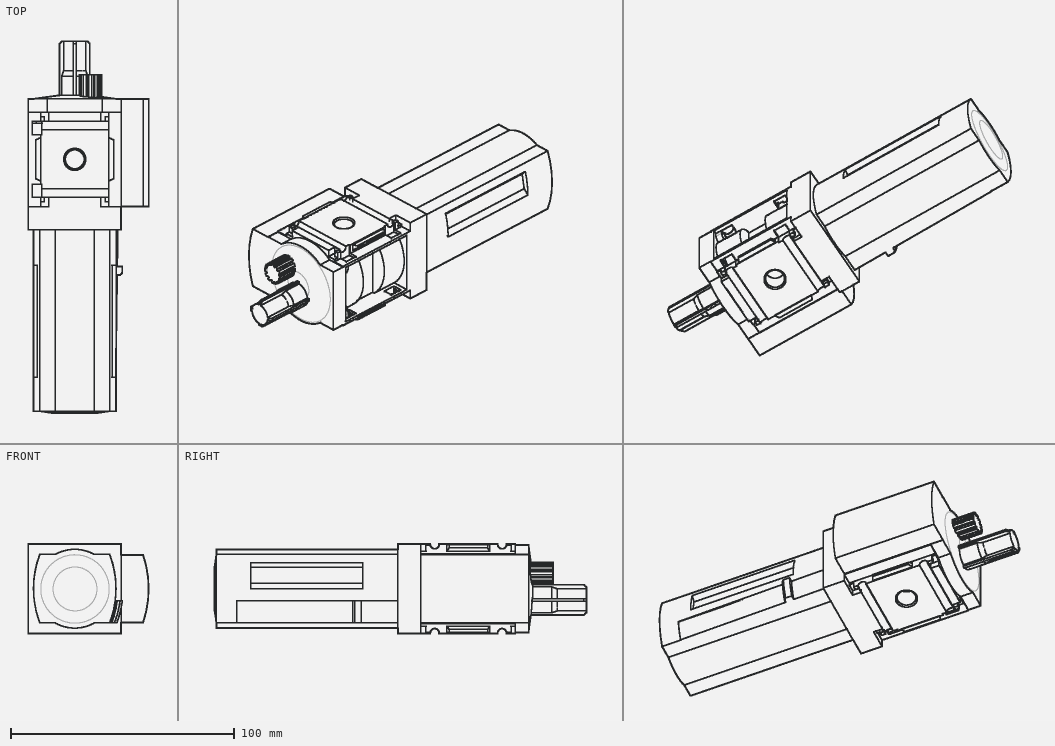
import cadquery as cq
import math


BOWL_END = 0.8
BASE_START = 82.1
FRAME_START = 92.5
PLATE_START = 96.6
PLATE_END = 130.8
CAP_START = 134.8
CAP_END = 140.8
DOME_TOP = 142.5
PINION_END = 151.6
TOTAL_LENGTH = 166.6
PORT_Y = (PLATE_START + PLATE_END) / 2

BLOCK_HALF_WIDTH = 20.8
BLOCK_HEIGHT = 40.2
BLOCK_HALF_HEIGHT = BLOCK_HEIGHT / 2
FLAT_HALF_HEIGHT = 15.3
LEDGE_HALF_HEIGHT = 15.7
PLATE_HALF_WIDTH = 15.3
NECK_HALF_WIDTH = 11.7
NOTCH_FLOOR_Z = 16.8

BOWL_RADIUS = 17.7
BOWL_CORNER_X = 15.7
BOWL_SIDE_X = 18.5
END_CONE_RADIUS = 15.3
END_FACE_RADIUS = 9.8
SIGHT_START = 16.2
SIGHT_END = 66.3
SIGHT_FLOOR_BOTTOM_X = 16.2
SIGHT_FLOOR_TOP_X = 14.8
SIGHT_FLOOR_BOTTOM = 2.3
SIGHT_FLOOR_TOP = 9.5
SIGHT_TOP = 11.7
SIGHT_TOP_X = 16.8

LATCH_TOP = -5.3
LATCH_LEAF_THICKNESS = 1.2
LATCH_LEAF_END = 10.0
LATCH_LEAF_END_THICKNESS = 0.2
LATCH_KNOB_START = 61.8
LATCH_KNOB_END = 65.8
LATCH_KNOB_THICKNESS = 3.2
LATCH_KNOB_CHAMFER = 1.0

COVER_HALF_HEIGHT = 15.2
COVER_CORNER_X = 30.7
COVER_SIDE_X = 33.2

CAP_RADIUS = 19.7
DOME_BASE_RADIUS = 18.7
DOME_TOP_RADIUS = 6.7

GROOVE_DIAMETER = 3.8
GROOVE_RADIUS = GROOVE_DIAMETER / 2
GROOVE_DEPTH = 2.2
GROOVE_INSET = 2.0
LIP_REACH = 2.2
LIP_HEIGHT = 2.8
LIP_EDGE_HEIGHT = 1.3
LIP_DROP = 0.5
LIP_OUTER_HALF_LENGTH = 8.7
LIP_ROOT_HALF_LENGTH = 9.7
PORT_DIAMETER = 8.5
PORT_DEPTH = 10.0
PORT_CHAMFER = 0.7
STUD_WIDTH = 1.7
STUD_LENGTH = 2.0
STUD_TOP = 19.5

WINDOW_START = 94.6
WINDOW_END = 133.0
WINDOW_HALF_HEIGHT = 14.3
WINDOW_FLOOR_X = -11.7
CORE_RADIUS = 19.2
CORE_WAIST_START = 107.1
CORE_WAIST_END = 120.3
LUG_LENGTH = 3.0
LUG_INNER_Z = 7.5
LUG_RADIUS = 4.3
LEDGE_HOLE_OUTER_X = -19.0
LEDGE_HOLE_INNER_X = -14.7
LEDGE_HOLE_LENGTH = 6.0

SHAFT_Z = -5.0
SHAFT_RADIUS = 5.0
COLLAR_RADIUS = 5.8
COLLAR_END = 153.5
COLLAR_CHAMFER = 2.5
FIN_RADIUS = 6.8
FIN_THICKNESS = 1.2
FIN_COUNT = 4
TIP_CHAMFER = 1.2
PINION_X = 7.0
PINION_Z = 6.8
PINION_RADIUS = 5.0
PINION_ROOT_RADIUS = 4.2
TOOTH_COUNT = 12
TOOTH_WIDTH = 1.3


def section(y):
    """Sketch plane across the part at station y, with local axes along X and Z."""
    return cq.Workplane(cq.Plane((0, y, 0), (1, 0, 0), (0, -1, 0)))


def cylinder(radius, y_start, y_end, x=0.0, z=0.0):
    return section(y_end).center(x, z).circle(radius).extrude(y_end - y_start)


def cone(lower_radius, upper_radius, y_start, y_end, x=0.0, z=0.0):
    profile = [(0, y_start), (lower_radius, y_start), (upper_radius, y_end), (0, y_end)]
    turned = cq.Workplane("XY").polyline(profile).close().revolve(360, (0, 0), (0, 1))
    return turned.translate((x, 0, z))


def box(x_start, x_end, y_start, y_end, z_start, z_end):
    size = (x_end - x_start, y_end - y_start, z_end - z_start)
    return cq.Workplane("XY").box(*size, centered=False).translate((x_start, y_start, z_start))


def in_both(shape, plane):
    return shape.union(shape.mirror(plane))


def bowl():
    outline = (
        section(BASE_START)
        .moveTo(-BOWL_CORNER_X, FLAT_HALF_HEIGHT)
        .lineTo(BOWL_CORNER_X, FLAT_HALF_HEIGHT)
        .threePointArc((BOWL_SIDE_X, 0), (BOWL_CORNER_X, -FLAT_HALF_HEIGHT))
        .lineTo(-BOWL_CORNER_X, -FLAT_HALF_HEIGHT)
        .threePointArc((-BOWL_SIDE_X, 0), (-BOWL_CORNER_X, FLAT_HALF_HEIGHT))
        .close()
    )
    shell = outline.extrude(BASE_START - BOWL_END)
    shell = shell.union(cylinder(BOWL_RADIUS, BOWL_END, BASE_START))
    shell = shell.union(cone(END_FACE_RADIUS, END_CONE_RADIUS, 0, BOWL_END))
    return shell.cut(in_both(sight_slot(), "YZ"))


def sight_slot():
    """Slot in the bowl's +X side, sloped at its floor and flared towards the outside."""
    lower_flare = BLOCK_HALF_WIDTH - SIGHT_FLOOR_BOTTOM_X
    upper_slope = (SIGHT_TOP - SIGHT_FLOOR_TOP) / (SIGHT_TOP_X - SIGHT_FLOOR_TOP_X)
    upper_flare = BOWL_SIDE_X - SIGHT_FLOOR_TOP_X
    profile = [
        (SIGHT_FLOOR_BOTTOM_X, SIGHT_FLOOR_BOTTOM),
        (SIGHT_FLOOR_TOP_X, SIGHT_FLOOR_TOP),
        (BOWL_SIDE_X, SIGHT_FLOOR_TOP + upper_slope * upper_flare),
        (BLOCK_HALF_WIDTH, SIGHT_FLOOR_BOTTOM - lower_flare),
    ]
    return section(SIGHT_END).polyline(profile).close().extrude(SIGHT_END - SIGHT_START)


def bowl_side_x(z):
    """X of the bowl's curved +X side at height z."""
    bulge = BOWL_SIDE_X - BOWL_CORNER_X
    radius = (FLAT_HALF_HEIGHT**2 + bulge**2) / (2 * bulge)
    return BOWL_SIDE_X - radius + math.sqrt(radius**2 - z**2)


def latch_outline(plane, thickness):
    """Band that follows the bowl's side, rooted inside the bowl."""
    middle_z = (LATCH_TOP - FLAT_HALF_HEIGHT) / 2
    top_x = bowl_side_x(LATCH_TOP)
    bottom_x = bowl_side_x(FLAT_HALF_HEIGHT)
    return (
        plane.moveTo(bottom_x - thickness, LATCH_TOP)
        .lineTo(top_x + thickness, LATCH_TOP)
        .threePointArc(
            (bowl_side_x(middle_z) + thickness, middle_z),
            (bottom_x + thickness, -FLAT_HALF_HEIGHT),
        )
        .lineTo(bottom_x - thickness, -FLAT_HALF_HEIGHT)
        .close()
    )


def latch():
    leaf_length = BASE_START - LATCH_LEAF_END
    leaf = latch_outline(section(BASE_START), LATCH_LEAF_THICKNESS)
    leaf = latch_outline(leaf.workplane(offset=leaf_length), LATCH_LEAF_END_THICKNESS).loft(ruled=True)
    knob = latch_outline(section(LATCH_KNOB_END), LATCH_KNOB_THICKNESS)
    knob = knob.extrude(LATCH_KNOB_END - LATCH_KNOB_START)
    knob = knob.edges("<Y").edges(">X").chamfer(LATCH_KNOB_CHAMFER)
    return leaf.union(knob)


def frame():
    """Base block, ledged middle and rounded cap, all in one piece."""
    width = BLOCK_HALF_WIDTH
    base = box(-width, width, BASE_START, FRAME_START, -BLOCK_HALF_HEIGHT, BLOCK_HALF_HEIGHT)
    middle = box(-width, width, FRAME_START, CAP_START, -LEDGE_HALF_HEIGHT, LEDGE_HALF_HEIGHT)
    cap = box(-width, width, CAP_START, CAP_END, -FLAT_HALF_HEIGHT, FLAT_HALF_HEIGHT)
    cap = cap.union(cylinder(CAP_RADIUS, CAP_START, CAP_END))
    dome = cone(DOME_BASE_RADIUS, DOME_TOP_RADIUS, CAP_END, DOME_TOP)
    return base.union(middle).union(cap).union(dome)


def side_cover():
    return (
        section(CAP_END)
        .moveTo(0, COVER_HALF_HEIGHT)
        .lineTo(COVER_CORNER_X, COVER_HALF_HEIGHT)
        .threePointArc((COVER_SIDE_X, 0), (COVER_CORNER_X, -COVER_HALF_HEIGHT))
        .lineTo(0, -COVER_HALF_HEIGHT)
        .close()
        .extrude(CAP_END - FRAME_START)
    )


def side_lip():
    """Overhanging hook along the plate's +X edge, set just below the plate's face."""
    top_z = BLOCK_HALF_HEIGHT - LIP_DROP
    overhang = (
        section(PLATE_END)
        .moveTo(PLATE_HALF_WIDTH, top_z)
        .lineTo(PLATE_HALF_WIDTH + LIP_REACH, top_z)
        .lineTo(PLATE_HALF_WIDTH + LIP_REACH, top_z - LIP_EDGE_HEIGHT)
        .lineTo(PLATE_HALF_WIDTH, top_z - LIP_HEIGHT)
        .close()
        .extrude(PLATE_END - PLATE_START)
    )
    outline = [
        (PLATE_HALF_WIDTH, PORT_Y - LIP_ROOT_HALF_LENGTH),
        (PLATE_HALF_WIDTH + LIP_REACH, PORT_Y - LIP_OUTER_HALF_LENGTH),
        (PLATE_HALF_WIDTH + LIP_REACH, PORT_Y + LIP_OUTER_HALF_LENGTH),
        (PLATE_HALF_WIDTH, PORT_Y + LIP_ROOT_HALF_LENGTH),
    ]
    return overhang.intersect(cq.Workplane("XY").polyline(outline).close().extrude(BLOCK_HALF_HEIGHT))


def corner_stud(y_start):
    """Small block in the notch beside the plate's neck, on the +X side."""
    outer = PLATE_HALF_WIDTH
    return box(outer - STUD_WIDTH, outer, y_start, y_start + STUD_LENGTH, NOTCH_FLOOR_Z, STUD_TOP)


def mounting_plate():
    plate = box(
        -PLATE_HALF_WIDTH, PLATE_HALF_WIDTH, PLATE_START, PLATE_END, 0, BLOCK_HALF_HEIGHT
    )
    neck = box(-NECK_HALF_WIDTH, NECK_HALF_WIDTH, FRAME_START, CAP_START, 0, BLOCK_HALF_HEIGHT)
    notch_floor = box(
        -PLATE_HALF_WIDTH, PLATE_HALF_WIDTH, FRAME_START, CAP_START, 0, NOTCH_FLOOR_Z
    )
    plate = plate.union(neck).union(notch_floor)
    plate = plate.union(in_both(side_lip(), "YZ"))
    for y_start in (PLATE_START - STUD_LENGTH, PLATE_END):
        plate = plate.union(in_both(corner_stud(y_start), "YZ"))

    groove_z = BLOCK_HALF_HEIGHT - GROOVE_DEPTH + GROOVE_RADIUS
    for groove_y in (PLATE_START + GROOVE_INSET, PLATE_END - GROOVE_INSET):
        groove = (
            cq.Workplane("YZ", origin=(-BLOCK_HALF_WIDTH, 0, 0))
            .center(groove_y, groove_z)
            .circle(GROOVE_RADIUS)
            .extrude(2 * BLOCK_HALF_WIDTH)
        )
        plate = plate.cut(groove)
    return plate


def port():
    """Chamfered blind hole in the middle of the top plate."""
    radius = PORT_DIAMETER / 2
    floor_z = BLOCK_HALF_HEIGHT - PORT_DEPTH
    profile = [
        (0, floor_z),
        (radius, floor_z),
        (radius, BLOCK_HALF_HEIGHT - PORT_CHAMFER),
        (radius + PORT_CHAMFER, BLOCK_HALF_HEIGHT),
        (0, BLOCK_HALF_HEIGHT),
    ]
    turned = cq.Workplane("XZ").polyline(profile).close().revolve(360, (0, 0), (0, 1))
    return turned.translate((0, PORT_Y, 0))


def window_lug():
    """Round-nosed lug hanging from the upper corner of the window."""
    y_start = WINDOW_END - LUG_LENGTH
    nose_z = LUG_INNER_Z + LUG_RADIUS
    x_end = -CORE_RADIUS + 2 * LUG_RADIUS
    stem = box(-CORE_RADIUS, x_end, y_start, WINDOW_END, nose_z, WINDOW_HALF_HEIGHT)
    nose = cylinder(LUG_RADIUS, y_start, WINDOW_END, -CORE_RADIUS + LUG_RADIUS, nose_z)
    return stem.union(nose)


def window():
    """Opening in the -X side that leaves a waisted round core and two lugs standing."""
    opening = box(
        -BLOCK_HALF_WIDTH,
        WINDOW_FLOOR_X,
        WINDOW_START,
        WINDOW_END,
        -WINDOW_HALF_HEIGHT,
        WINDOW_HALF_HEIGHT,
    )
    opening = opening.cut(cylinder(CORE_RADIUS, WINDOW_START, CORE_WAIST_START))
    opening = opening.cut(cylinder(CORE_RADIUS, CORE_WAIST_END, WINDOW_END))
    return opening.cut(in_both(window_lug(), "XY"))


def ledge_holes():
    """Rectangular holes through the ledges into the window, notching the ends of the plate grooves."""
    holes = cq.Workplane("XY")
    for y_start in (PLATE_START, PLATE_END - LEDGE_HOLE_LENGTH):
        y_end = y_start + LEDGE_HOLE_LENGTH
        hole = box(
            LEDGE_HOLE_OUTER_X, LEDGE_HOLE_INNER_X, y_start, y_end, WINDOW_HALF_HEIGHT, BLOCK_HALF_HEIGHT
        )
        holes = holes.union(in_both(hole, "XY"))
    return holes


def shaft():
    """Round shaft on a thicker collar, with lengthwise fins all round."""
    collar_shoulder = COLLAR_END - COLLAR_CHAMFER
    body = cylinder(SHAFT_RADIUS, CAP_END, TOTAL_LENGTH, 0, SHAFT_Z)
    body = body.union(cylinder(COLLAR_RADIUS, CAP_END, collar_shoulder, 0, SHAFT_Z))
    body = body.union(cone(COLLAR_RADIUS, SHAFT_RADIUS, collar_shoulder, COLLAR_END, 0, SHAFT_Z))
    fin = box(
        0, FIN_RADIUS, CAP_END, TOTAL_LENGTH, SHAFT_Z - FIN_THICKNESS / 2, SHAFT_Z + FIN_THICKNESS / 2
    )
    for index in range(FIN_COUNT):
        angle = 360 / FIN_COUNT * index
        body = body.union(fin.rotate((0, 0, SHAFT_Z), (0, 1, SHAFT_Z), angle))
    envelope = cylinder(FIN_RADIUS, CAP_END, TOTAL_LENGTH, 0, SHAFT_Z).faces(">Y").chamfer(TIP_CHAMFER)
    return body.intersect(envelope)


def pinion():
    gear = cylinder(PINION_ROOT_RADIUS, CAP_END, PINION_END, PINION_X, PINION_Z)
    tooth = box(
        PINION_X,
        PINION_X + PINION_RADIUS,
        CAP_END,
        PINION_END,
        PINION_Z - TOOTH_WIDTH / 2,
        PINION_Z + TOOTH_WIDTH / 2,
    )
    for index in range(TOOTH_COUNT):
        angle = 360 / TOOTH_COUNT * index
        gear = gear.union(tooth.rotate((PINION_X, 0, PINION_Z), (PINION_X, 1, PINION_Z), angle))
    return gear


body = frame().union(side_cover())
body = body.union(in_both(mounting_plate(), "XY"))
body = body.cut(in_both(port(), "XY"))
body = body.cut(window()).cut(ledge_holes())
result = body.union(bowl()).union(latch()).union(shaft()).union(pinion())